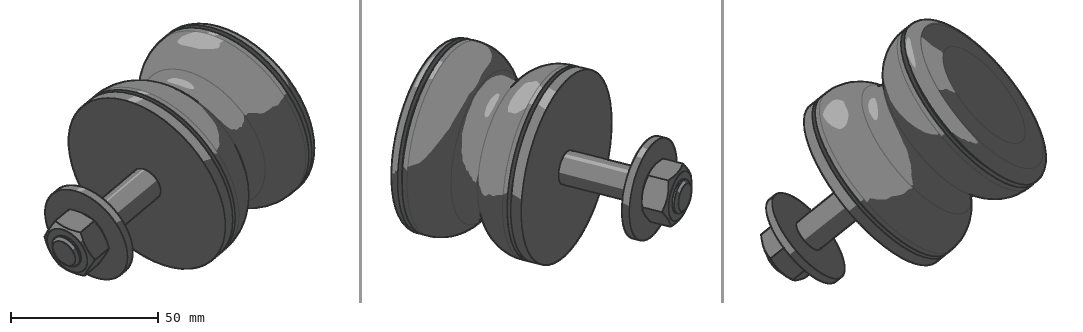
import cadquery as cq
import math

total_length = 97.0
back_y = total_length / 2

roller_diameter = 68.4
roller_radius = roller_diameter / 2
groove_diameter = 62.0
cap_corner_radius = 4.0
crown_height = 0.9
crown_flat_radius = 20.4
cap_depth = crown_height + cap_corner_radius
body_start_depth = 6.5
body_end_depth = 46.6
rim_width = 1.8
flange_start_depth = 47.9
flange_end_depth = 51.9
flank_radius = 15.7
waist_arc_radius = 6.0

bolt_diameter = 12.0
bolt_tip_chamfer = 1.1
washer_diameter = 36.0
washer_start_depth = 82.0
washer_end_depth = 84.9
nut_end_depth = 95.2
nut_corner_diameter = 22.1
nut_turn = 5.0
nut_face_diameter = 17.5
nut_chamfer_angle = 30.0


def cylinder(diameter, start_depth, end_depth):
    """Cylinder along Y between two depths."""
    plane = cq.Workplane("XZ", origin=(0, back_y - start_depth, 0))
    return plane.circle(diameter / 2).extrude(end_depth - start_depth)


def revolve_profile(sketch):
    """Turn a closed (radius, y) outline about the Y axis."""
    return sketch.close().revolve(360, (0, 0, 0), (0, 1, 0))


def make_cap():
    """Back cap with a flat centre, a shallow cone and a rounded corner."""
    crown_edge = roller_radius - cap_corner_radius
    corner_y = back_y - crown_height
    center_y = corner_y - cap_corner_radius
    diagonal = cap_corner_radius * math.sqrt(0.5)
    return revolve_profile(
        cq.Workplane("XY")
        .moveTo(0, back_y)
        .lineTo(crown_flat_radius, back_y)
        .lineTo(crown_edge, corner_y)
        .threePointArc((crown_edge + diagonal, center_y + diagonal), (roller_radius, center_y))
        .lineTo(0, center_y)
    )


def make_waisted_body():
    """Body with two convex flanks joined tangentially by a concave waist."""
    start_y = back_y - body_start_depth
    end_y = back_y - body_end_depth
    middle_y = (start_y + end_y) / 2
    half_flank = (start_y - end_y) / 2 - rim_width
    flank_center = roller_radius - flank_radius
    center_distance = flank_radius + waist_arc_radius
    flank_angle = math.asin(half_flank / center_distance)
    waist_center = flank_center + center_distance * math.cos(flank_angle)
    waist_radius = waist_center - waist_arc_radius
    join_radius = flank_center + flank_radius * math.cos(flank_angle)
    join_offset = waist_arc_radius * math.sin(flank_angle)
    bulge_radius = flank_center + flank_radius * math.cos(flank_angle / 2)
    bulge_offset = half_flank - flank_radius * math.sin(flank_angle / 2)
    return revolve_profile(
        cq.Workplane("XY")
        .moveTo(0, start_y)
        .lineTo(roller_radius, start_y)
        .lineTo(roller_radius, start_y - rim_width)
        .threePointArc((bulge_radius, middle_y + bulge_offset), (join_radius, middle_y + join_offset))
        .threePointArc((waist_radius, middle_y), (join_radius, middle_y - join_offset))
        .threePointArc((bulge_radius, middle_y - bulge_offset), (roller_radius, end_y + rim_width))
        .lineTo(roller_radius, end_y)
        .lineTo(0, end_y)
    )


def make_nut():
    """Hexagonal nut with conical corner chamfers at both ends."""
    hexagon = (
        cq.Workplane("XZ", origin=(0, back_y - washer_end_depth, 0))
        .polygon(6, nut_corner_diameter)
        .extrude(nut_end_depth - washer_end_depth)
        .rotate((0, 0, 0), (0, 1, 0), -nut_turn)
    )
    chamfer_run = (nut_corner_diameter - nut_face_diameter) / 2
    chamfer_height = chamfer_run * math.tan(math.radians(nut_chamfer_angle))
    blank = cylinder(nut_corner_diameter, washer_end_depth, nut_end_depth)
    blank = blank.faces("<Y or >Y").chamfer(chamfer_height, chamfer_run)
    return hexagon.intersect(blank)


back_groove_core = cylinder(groove_diameter, cap_depth, body_start_depth)
front_groove_core = cylinder(groove_diameter, body_end_depth, flange_start_depth)
flange = cylinder(roller_diameter, flange_start_depth, flange_end_depth)
bolt = cylinder(bolt_diameter, flange_start_depth, total_length).faces("<Y").chamfer(bolt_tip_chamfer)
washer = cylinder(washer_diameter, washer_start_depth, washer_end_depth)

result = (
    make_cap()
    .union(back_groove_core)
    .union(make_waisted_body())
    .union(front_groove_core)
    .union(flange)
    .union(bolt)
    .union(washer)
    .union(make_nut())
)